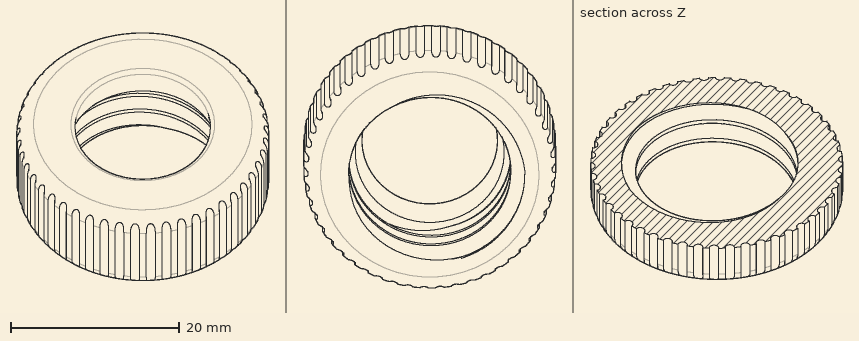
import cadquery as cq
import math

outer_radius = 15.0
height = 12.28
outer_fillet = 2.0

mouth_radius = 8.05
mouth_fillet = 0.5
collar_depth = 4.67
collar_lower_radius = 8.86
cavity_height = height - collar_depth

thread_crest_radius = 19.3 / 2
thread_root_radius = 22.64 / 2
thread_pitch = 3.0
flank_angle = 30.0
thread_depth = thread_root_radius - thread_crest_radius
flank_height = thread_depth * math.tan(math.radians(flank_angle))
crest_flat = 0.6
root_flat = thread_pitch - 2 * flank_height - crest_flat
thread_reference_azimuth = 45.0
crest_edge_height = 5.22
cutter_overlap = 0.3
end_clearance = 1.0

flute_count = 50
flute_radius = 0.55
flute_floor_radius = 14.52
flute_ring_offset_y = -0.08


def make_ring():
    """Solid of revolution with rounded rims, tapered mouth and cavity bored to the crests."""
    diagonal = math.sqrt(0.5)
    outer_corner = outer_radius - outer_fillet
    outer_bulge = outer_fillet * diagonal
    mouth_centre_radius = mouth_radius + mouth_fillet
    mouth_centre_height = height - mouth_fillet
    mouth_bulge = mouth_fillet * diagonal
    section = (
        cq.Workplane("YZ")
        .moveTo(thread_crest_radius, 0)
        .lineTo(outer_corner, 0)
        .threePointArc(
            (outer_corner + outer_bulge, outer_fillet - outer_bulge),
            (outer_radius, outer_fillet),
        )
        .lineTo(outer_radius, height - outer_fillet)
        .threePointArc(
            (outer_corner + outer_bulge, height - outer_fillet + outer_bulge),
            (outer_corner, height),
        )
        .lineTo(mouth_centre_radius, height)
        .threePointArc(
            (mouth_centre_radius - mouth_bulge, mouth_centre_height + mouth_bulge),
            (mouth_radius, mouth_centre_height),
        )
        .lineTo(collar_lower_radius, cavity_height)
        .lineTo(thread_crest_radius, cavity_height)
        .close()
    )
    return section.revolve(360, (0, 0, 0), (0, 1, 0))


def make_thread_groove():
    """Helical groove between the crests, running out of the open end and up to the collar."""
    inner_radius = thread_crest_radius - cutter_overlap
    root_half = root_flat / 2
    overlap_rise = cutter_overlap * math.tan(math.radians(flank_angle))
    inner_half = root_half + flank_height + overlap_rise

    groove_centre = crest_edge_height + flank_height + root_half
    turns_below = math.ceil(groove_centre / thread_pitch) + 1
    start_height = groove_centre - turns_below * thread_pitch
    turns = math.ceil((cavity_height - start_height) / thread_pitch) + 1

    path = cq.Wire.makeHelix(thread_pitch, turns * thread_pitch, thread_crest_radius)
    path = path.moved(cq.Location(cq.Vector(0, 0, start_height)))
    groove = (
        cq.Workplane("XZ")
        .moveTo(inner_radius, start_height - inner_half)
        .lineTo(thread_root_radius, start_height - root_half)
        .lineTo(thread_root_radius, start_height + root_half)
        .lineTo(inner_radius, start_height + inner_half)
        .close()
        .sweep(cq.Workplane(obj=path), isFrenet=True)
        .rotate((0, 0, 0), (0, 0, 1), thread_reference_azimuth)
    )
    cavity_limit = (
        cq.Workplane("XY")
        .workplane(offset=-end_clearance)
        .circle(outer_radius)
        .extrude(end_clearance + cavity_height)
    )
    return groove.intersect(cavity_limit)


def make_flutes():
    """Round-bottomed vertical flutes, with one facing straight along +Y and one along -Y."""
    first_angle = 90.0
    return (
        cq.Workplane("XY")
        .center(0, flute_ring_offset_y)
        .polarArray(flute_floor_radius + flute_radius, first_angle, 360, flute_count)
        .circle(flute_radius)
        .extrude(height)
    )


result = make_ring().cut(make_flutes()).cut(make_thread_groove())